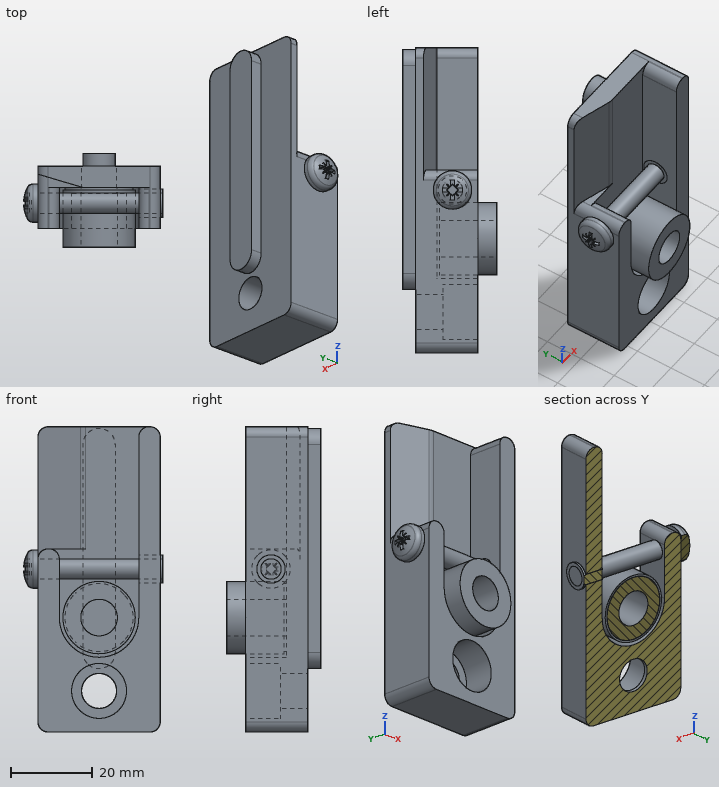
import cadquery as cq
import math

WIDTH = 30.1
HEIGHT = 75.0
DEPTH = 15.3
POCKET_RADIUS = 9.75
FLOOR = 5.25
CORNER_RADIUS = 2.55
POCKET_Z = 28.1
LEFT_WALL_TOP = 45.0

RAMP_WIDTH = 11.1
RAMP_EDGE_THICKNESS = 1.95
RAMP_BLEND_RADIUS = 4.5

RAIL_WIDTH = 7.95
RAIL_HEIGHT = 3.15
RAIL_BOTTOM = 15.6
RAIL_TOP = 74.55

MOUNT_Z = 10.1
MOUNT_DIAMETER = 8.55
COUNTERBORE_DIAMETER = 13.5
COUNTERBORE_DEPTH = 8.55

BUSHING_DIAMETER = 17.8
BUSHING_BORE = 9.0
BUSHING_NECK_DIAMETER = 16.7
BUSHING_NECK_LENGTH = 0.6
BUSHING_FRONT = DEPTH + 4.65

SCREW_Y = -9.1
SCREW_Z = 40.05
SHANK_DIAMETER = 5.0
HEAD_DIAMETER = 9.45
HEAD_HEIGHT = 3.5
HEAD_RIM = 1.1
CAP_DIAMETER = 7.8
CAP_RISE = 1.0
SLEEVE_DIAMETER = 7.0
SLEEVE_PROTRUSION = 0.6

RECESS_SPAN = 4.95
RECESS_SLOT = 0.9
RECESS_CORE = 2.0
RECESS_DEPTH = 1.5
RECESS_CORE_DEPTH = 1.95
RECESS_TICK_SPAN = 3.9
RECESS_TICK_WIDTH = 0.2

LEFT = -WIDTH / 2
SLEEVE_END = WIDTH / 2 + SLEEVE_PROTRUSION


def front_cylinder(diameter, z, back, front):
    """Cylinder along Y, between two distances forward of the back face."""
    plane = cq.Workplane("XZ", origin=(0, -back, z))
    return plane.circle(diameter / 2).extrude(front - back)


def cross_cylinder(diameter, start, end):
    """Cylinder along X on the screw axis."""
    plane = cq.Workplane("YZ", origin=(start, SCREW_Y, SCREW_Z))
    return plane.circle(diameter / 2).extrude(end - start)


def make_pocket():
    """Round-bottomed channel, open at the front and the top."""
    channel = (
        cq.Workplane("XZ", origin=(0, -FLOOR, 0))
        .moveTo(-POCKET_RADIUS, HEIGHT)
        .lineTo(-POCKET_RADIUS, POCKET_Z)
        .threePointArc((0, POCKET_Z - POCKET_RADIUS), (POCKET_RADIUS, POCKET_Z))
        .lineTo(POCKET_RADIUS, HEIGHT)
        .close()
        .extrude(DEPTH - FLOOR)
    )
    return channel


def make_left_opening(bottom):
    """Space above a level on the left side, bounded behind by the ramp and its blend."""
    slope = math.atan2(FLOOR - RAMP_EDGE_THICKNESS, RAMP_WIDTH)
    tangent = RAMP_BLEND_RADIUS * math.tan(slope / 2)
    crest = LEFT + RAMP_WIDTH
    blend_start = (crest - tangent * math.cos(slope), -FLOOR + tangent * math.sin(slope))
    blend_end = (crest + tangent, -FLOOR)
    blend_middle = (
        blend_end[0] - RAMP_BLEND_RADIUS * math.sin(slope / 2),
        -FLOOR + RAMP_BLEND_RADIUS * (1 - math.cos(slope / 2)),
    )
    return (
        cq.Workplane("XY", origin=(0, 0, bottom))
        .moveTo(LEFT, -RAMP_EDGE_THICKNESS)
        .lineTo(*blend_start)
        .threePointArc(blend_middle, blend_end)
        .lineTo(blend_end[0], -DEPTH)
        .lineTo(LEFT, -DEPTH)
        .close()
        .extrude(HEIGHT - bottom)
    )


def make_corner_trim(corner_x, corner_z, inward):
    """Material outside a rounded upper wall corner; inward is the X direction into the wall."""
    center_x = corner_x + inward * CORNER_RADIUS
    center_z = corner_z - CORNER_RADIUS
    block = (
        cq.Workplane("XZ")
        .moveTo(corner_x, corner_z)
        .lineTo(center_x, corner_z)
        .lineTo(center_x, center_z)
        .lineTo(corner_x, center_z)
        .close()
        .extrude(DEPTH)
    )
    round_bar = front_cylinder(2 * CORNER_RADIUS, center_z, 0, DEPTH)
    return block.cut(round_bar.translate((center_x, 0, 0)))


def make_wall_tip_trims():
    """Rounds of the wall tips: inner ones stop at the floor, the outer left one at the ramp plane."""
    front_space = (
        cq.Workplane("XZ", origin=(0, -FLOOR, 0))
        .rect(WIDTH, HEIGHT, centered=(True, False))
        .extrude(DEPTH - FLOOR)
    )
    ramp_space = make_left_opening(LEFT_WALL_TOP - CORNER_RADIUS)
    return [
        make_corner_trim(POCKET_RADIUS, HEIGHT, 1).intersect(front_space),
        make_corner_trim(-POCKET_RADIUS, LEFT_WALL_TOP, -1).intersect(front_space),
        make_corner_trim(LEFT, LEFT_WALL_TOP, 1).intersect(ramp_space),
    ]


def make_rail():
    length = RAIL_TOP - RAIL_BOTTOM
    return (
        cq.Workplane("XZ", origin=(0, 0, RAIL_BOTTOM + length / 2))
        .slot2D(length, RAIL_WIDTH, 90)
        .extrude(-RAIL_HEIGHT)
    )


def make_housing():
    body = (
        cq.Workplane("XZ")
        .rect(WIDTH, HEIGHT, centered=(True, False))
        .extrude(DEPTH)
        .edges("|Y")
        .fillet(CORNER_RADIUS)
    )
    body = body.cut(make_pocket()).cut(make_left_opening(LEFT_WALL_TOP))
    for trim in make_wall_tip_trims():
        body = body.cut(trim)
    body = body.union(make_rail())
    body = body.cut(front_cylinder(MOUNT_DIAMETER, MOUNT_Z, 0, DEPTH))
    body = body.cut(front_cylinder(COUNTERBORE_DIAMETER, MOUNT_Z, DEPTH - COUNTERBORE_DEPTH, DEPTH))
    body = body.cut(cross_cylinder(SHANK_DIAMETER, LEFT, 0))
    return body.cut(cross_cylinder(SLEEVE_DIAMETER, POCKET_RADIUS, WIDTH / 2))


def make_bushing():
    neck_front = FLOOR + BUSHING_NECK_LENGTH
    neck = front_cylinder(BUSHING_NECK_DIAMETER, POCKET_Z, FLOOR, neck_front)
    barrel = front_cylinder(BUSHING_DIAMETER, POCKET_Z, neck_front, BUSHING_FRONT)
    return neck.union(barrel).cut(front_cylinder(BUSHING_BORE, POCKET_Z, FLOOR, BUSHING_FRONT))


def make_recess_bar(length, width, depth):
    """Bar sunk from the crown of a head whose axis is Y."""
    plane = cq.Workplane("XZ", origin=(0, HEAD_HEIGHT, 0))
    return plane.rect(length, width).extrude(depth)


def make_recess_cross(span, slot):
    bar = make_recess_bar(span, slot, RECESS_DEPTH)
    return bar.union(bar.rotate((0, 0, 0), (0, 1, 0), 90))


def make_screw_head():
    """Pan head: straight rim, rounded shoulder and shallow domed cap, with a cross recess."""
    rim_radius = HEAD_DIAMETER / 2
    cap_radius = CAP_DIAMETER / 2
    dome_radius = (cap_radius**2 + CAP_RISE**2) / (2 * CAP_RISE)
    half_angle = math.asin(cap_radius / dome_radius) / 2
    dome_middle = (
        dome_radius * math.sin(half_angle),
        HEAD_HEIGHT - dome_radius * (1 - math.cos(half_angle)),
    )
    head = (
        cq.Workplane("XY")
        .lineTo(rim_radius, 0)
        .lineTo(rim_radius, HEAD_RIM)
        .tangentArcPoint((cap_radius, HEAD_HEIGHT - CAP_RISE), relative=False)
        .threePointArc(dome_middle, (0, HEAD_HEIGHT))
        .close()
        .revolve(360, (0, 0), (0, 1))
    )
    recess = make_recess_cross(RECESS_SPAN, RECESS_SLOT)
    ticks = make_recess_cross(RECESS_TICK_SPAN, RECESS_TICK_WIDTH)
    core = make_recess_bar(RECESS_CORE, RECESS_CORE, RECESS_CORE_DEPTH)
    head = head.cut(recess)
    head = head.cut(ticks.rotate((0, 0, 0), (0, 1, 0), 45))
    head = head.cut(core.rotate((0, 0, 0), (0, 1, 0), 45))
    return head.rotate((0, 0, 0), (0, 0, 1), 90).translate((LEFT, SCREW_Y, SCREW_Z))


def make_screw():
    return make_screw_head().union(cross_cylinder(SHANK_DIAMETER, LEFT, SLEEVE_END))


def make_sleeve():
    sleeve = cross_cylinder(SLEEVE_DIAMETER, POCKET_RADIUS, SLEEVE_END)
    return sleeve.cut(cross_cylinder(SHANK_DIAMETER, POCKET_RADIUS, SLEEVE_END))


housing = make_housing()
bushing = make_bushing()
screw = make_screw()
sleeve = make_sleeve()

result = cq.Compound.makeCompound([housing.val(), bushing.val(), screw.val(), sleeve.val()])